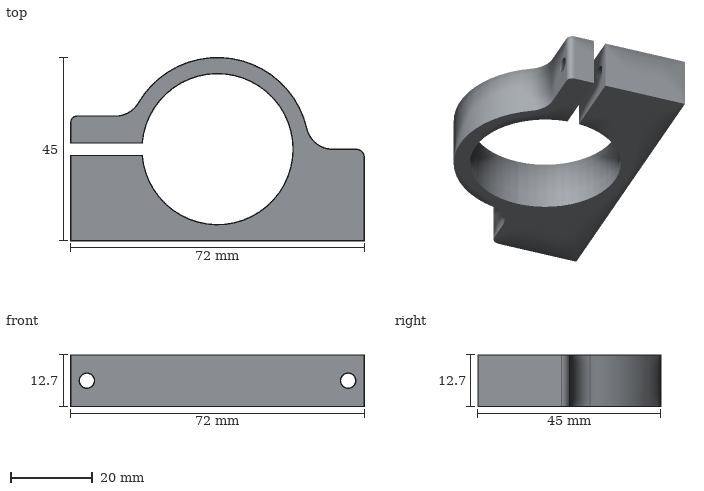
import cadquery as cq

length = 72.0
thickness = 12.7
width = 45.0
ring_radius = width / 2
bore_radius = 18.5

slit_width = 3.0
ear_top = 8.1
blend_radius = 6.5
shoulder_corner_radius = 2.0
ear_corner_radius = 1.5
hole_diameter = 3.7
hole_inset = 3.95

half_length = length / 2
tiny = 0.01


def vertical_edge_at(x, y):
    """Selector for the vertical edge passing through (x, y)."""
    return cq.selectors.BoxSelector((x - tiny, y - tiny, -tiny), (x + tiny, y + tiny, tiny))


def make_body():
    """Ring standing in a rectangular base, with a raised ear on the left."""
    ring = cq.Workplane("XY").cylinder(thickness, ring_radius)
    base = cq.Workplane("XY").box(length, ring_radius, thickness).translate((0, -ring_radius / 2, 0))
    ear = (
        cq.Workplane("XY")
        .box(half_length, ear_top, thickness)
        .translate((-half_length / 2, ear_top / 2, 0))
    )
    return base.union(ear).union(ring).clean()


def round_corners(body):
    """Blend the shoulders into the ring and round their outer corners."""
    ear_joint_x = -((ring_radius**2 - ear_top**2) ** 0.5)
    joints = [(ear_joint_x, ear_top), (ring_radius, 0)]
    for x, y in joints:
        body = body.edges(vertical_edge_at(x, y)).fillet(blend_radius)
    body = body.edges(vertical_edge_at(half_length, 0)).fillet(shoulder_corner_radius)
    return body.edges(vertical_edge_at(-half_length, ear_top)).fillet(ear_corner_radius)


def cut_bore_and_slit(body):
    """Open the round bore and split the left side through to it."""
    bore = cq.Workplane("XY").cylinder(thickness, bore_radius)
    slit = (
        cq.Workplane("XY")
        .box(half_length, slit_width, thickness)
        .translate((-half_length / 2, 0, 0))
    )
    return body.cut(bore).cut(slit)


def drill_screw_holes(body):
    """Drill one through hole along Y near each end."""
    hole_x = half_length - hole_inset
    holes = (
        cq.Workplane("XZ")
        .pushPoints([(-hole_x, 0), (hole_x, 0)])
        .circle(hole_diameter / 2)
        .extrude(width, both=True)
    )
    return body.cut(holes)


result = drill_screw_holes(cut_bore_and_slit(round_corners(make_body())))